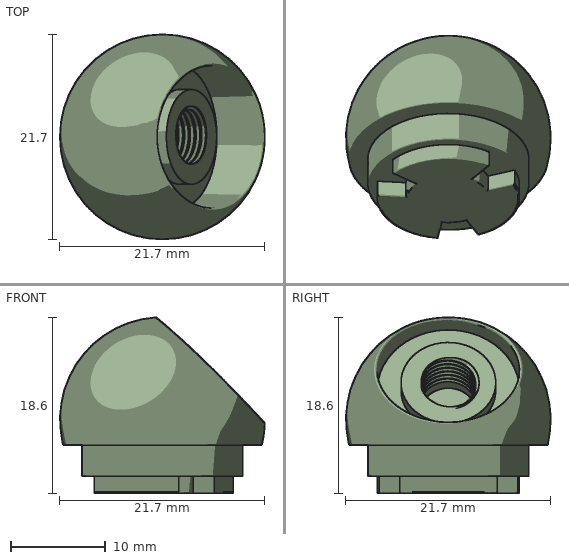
import cadquery as cq
import math

ball_radius = 10.83
ball_center_z = 7.78
ball_bottom_z = 5.1
neck_diameter = 17.0
neck_bottom_z = 1.8
edge_round = 0.15

crown_diameter = 15.0
core_diameter = 9.0
gap_count = 3
gap_angle = 33.4
first_gap_direction = 60.0

pocket_tilt = 32.0
pocket_offset = 1.7
pocket_diameter = 15.0
floor_position = 3.16
boss_diameter = 10.0
boss_height = 1.52
pocket_reach = 13.0
rim_round = 0.2

hole_diameter = 5.76
thread_pitch = 0.71
thread_turns = 7
hole_depth = (thread_turns + 1) * thread_pitch
thread_depth = 0.37
groove_mouth_width = 0.65
groove_root_width = 0.13
groove_overlap = 0.06
thread_start_angle = 20.0


def pocket_plane(distance):
    """Plane square to the pocket axis, facing +X and up, at a distance along the axis."""
    cos_tilt = math.cos(math.radians(pocket_tilt))
    sin_tilt = math.sin(math.radians(pocket_tilt))
    origin = (
        distance * cos_tilt - pocket_offset * sin_tilt,
        0,
        ball_center_z + distance * sin_tilt + pocket_offset * cos_tilt,
    )
    return cq.Plane(origin=origin, xDir=(0, 1, 0), normal=(cos_tilt, 0, sin_tilt))


def make_ball():
    size = 3 * ball_radius
    ball = cq.Workplane("XY").sphere(ball_radius).translate((0, 0, ball_center_z))
    below = cq.Workplane("XY").workplane(offset=ball_bottom_z).rect(size, size).extrude(-size)
    return ball.cut(below).faces("<Z").edges().fillet(edge_round)


def make_neck():
    neck = cq.Workplane("XY").workplane(offset=neck_bottom_z).circle(neck_diameter / 2)
    return neck.extrude(ball_bottom_z - neck_bottom_z).faces("<Z").edges().fillet(edge_round)


def make_crown():
    crown = cq.Workplane("XY").circle(crown_diameter / 2).extrude(neck_bottom_z)
    half_width = crown_diameter * math.tan(math.radians(gap_angle / 2))
    wedge = (
        cq.Workplane("XY")
        .polyline([(0, 0), (crown_diameter, -half_width), (crown_diameter, half_width)])
        .close()
        .extrude(neck_bottom_z)
    )
    gap = wedge.cut(cq.Workplane("XY").circle(core_diameter / 2).extrude(neck_bottom_z))
    for index in range(gap_count):
        direction = first_gap_direction + index * 360 / gap_count
        crown = crown.cut(gap.rotate((0, 0, 0), (0, 0, 1), direction))
    return crown.faces("<Z").edges().fillet(edge_round)


def make_pocket():
    floor_plane = pocket_plane(floor_position)
    pocket = cq.Workplane(floor_plane).circle(pocket_diameter / 2).extrude(pocket_reach)
    boss = cq.Workplane(floor_plane).circle(boss_diameter / 2).extrude(boss_height)
    return pocket.cut(boss)


def make_threaded_hole():
    """Helical groove and plain bore, to be cut in that order, running down from the top of the boss."""
    bore_radius = hole_diameter / 2
    bore = cq.Workplane("XY").circle(bore_radius).extrude(-hole_depth)
    helix_height = thread_turns * thread_pitch
    helix = cq.Wire.makeHelix(thread_pitch, helix_height, bore_radius)
    inner = bore_radius - groove_overlap
    outer = bore_radius + thread_depth
    groove = (
        cq.Workplane("XZ")
        .polyline([
            (inner, -groove_mouth_width / 2),
            (outer, -groove_root_width / 2),
            (outer, groove_root_width / 2),
            (inner, groove_mouth_width / 2),
        ])
        .close()
        .sweep(cq.Workplane(obj=helix), isFrenet=True)
        .translate((0, 0, thread_pitch - helix_height))
        .rotate((0, 0, 0), (0, 0, 1), thread_start_angle)
    )
    mouth = cq.Location(pocket_plane(floor_position + boss_height))
    return groove.val().moved(mouth), bore.val().moved(mouth)


body = make_ball().union(make_neck()).union(make_crown()).cut(make_pocket())
body = body.faces("%SPHERE").edges(">Z").fillet(rim_round)
for cutter in make_threaded_hole():
    body = body.cut(cq.Workplane(obj=cutter))
result = body